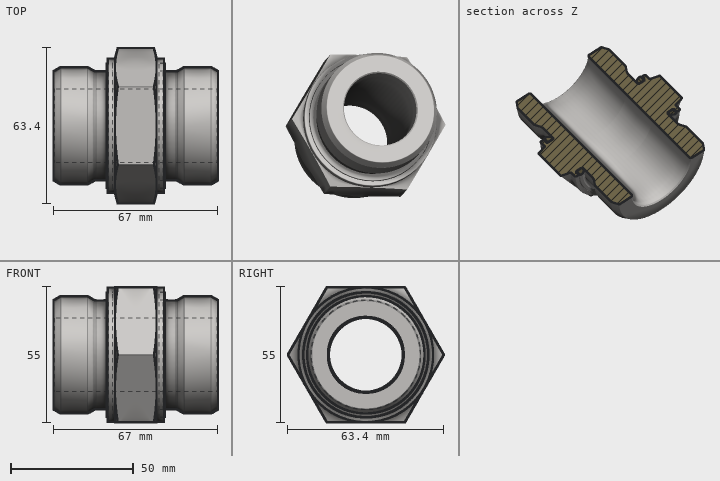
import cadquery as cq
import math

LENGTH = 67.0
BORE_DIAMETER = 30.0
BORE_CHAMFER = 0.5
THREAD_DIAMETER = 47.8
NECK_DIAMETER = 44.4
TAPER_ANGLE = 30.0
NECK_END = 16.7
NECK_FILLET = 1.5
END_DIAMETER = 44.4
COLLAR_DIAMETER = 54.8
COLLAR_HALF_WIDTH = 11.5
HEX_SIDES = 6
HEX_ACROSS_FLATS = 55.0
HEX_HALF_WIDTH = 8.5
HEX_CHAMFER_ANGLE = 15.0
EDGE_ROUND = 0.3
PLANE_TOLERANCE = 0.01

GROOVE_DIAMETER = 51.05
GROOVE_DEPTH = 2.0
SEAL_OUTER_DIAMETER = 50.7
SEAL_INNER_DIAMETER = 44.7
SEAL_CHAMFER_WIDTH = 1.5
SEAL_CHAMFER_ANGLE = 30.0
SEAL_EDGE_ROUND = 0.2
SEAL_PROUD = 0.4

half_length = LENGTH / 2
bore_radius = BORE_DIAMETER / 2
thread_radius = THREAD_DIAMETER / 2
neck_radius = NECK_DIAMETER / 2
collar_radius = COLLAR_DIAMETER / 2
groove_radius = GROOVE_DIAMETER / 2
seal_outer_radius = SEAL_OUTER_DIAMETER / 2
seal_inner_radius = SEAL_INNER_DIAMETER / 2
seal_face = COLLAR_HALF_WIDTH + SEAL_PROUD
seal_chamfer_depth = SEAL_CHAMFER_WIDTH * math.tan(math.radians(SEAL_CHAMFER_ANGLE))
groove_floor = COLLAR_HALF_WIDTH - GROOVE_DEPTH
end_radius = END_DIAMETER / 2
taper_tangent = math.tan(math.radians(TAPER_ANGLE))
runout_length = (thread_radius - neck_radius) / taper_tangent
tip_length = (thread_radius - end_radius) / taper_tangent
hex_sharp_diameter = HEX_ACROSS_FLATS / math.cos(math.pi / HEX_SIDES)

OUTERMOST = cq.selectors.RadiusNthSelector(-1)


def revolve_about_x(profile):
    """Close a half profile drawn in the XY plane and revolve it about the X axis."""
    return profile.close().revolve(360, (0, 0, 0), (1, 0, 0))


def circles_at(x):
    """Selector for the circular edges lying in the plane at the given X."""
    reach = HEX_ACROSS_FLATS
    return cq.selectors.BoxSelector(
        (x - PLANE_TOLERANCE, -reach, -reach), (x + PLANE_TOLERANCE, reach, reach), boundingbox=True)


def make_half_turning():
    """Round part of the +X half: bore, collar, seal groove, neck and thread."""
    profile = (
        cq.Workplane("XY")
        .moveTo(0, bore_radius)
        .lineTo(0, collar_radius)
        .lineTo(COLLAR_HALF_WIDTH, collar_radius)
        .lineTo(COLLAR_HALF_WIDTH, groove_radius)
        .lineTo(groove_floor, groove_radius)
        .lineTo(groove_floor, neck_radius)
        .lineTo(NECK_END, neck_radius)
        .lineTo(NECK_END + runout_length, thread_radius)
        .lineTo(half_length - tip_length, thread_radius)
        .lineTo(half_length, end_radius)
        .lineTo(half_length, bore_radius + BORE_CHAMFER)
        .lineTo(half_length - BORE_CHAMFER, bore_radius)
    )
    half = revolve_about_x(profile)
    half = half.edges(circles_at(NECK_END)).fillet(NECK_FILLET)
    for x in (NECK_END + runout_length, half_length - tip_length):
        half = half.edges(circles_at(x)).fillet(EDGE_ROUND)
    for x in (half_length, COLLAR_HALF_WIDTH):
        half = half.edges(circles_at(x)).edges(OUTERMOST).fillet(EDGE_ROUND)
    return half


def make_hexagon():
    """Hexagon with flats at +Z and -Z and conically chamfered corners."""
    hexagon = (
        cq.Workplane("YZ")
        .workplane(offset=-HEX_HALF_WIDTH)
        .polygon(HEX_SIDES, hex_sharp_diameter)
        .extrude(2 * HEX_HALF_WIDTH)
        .edges("|X")
        .fillet(EDGE_ROUND)
        .faces(">X")
        .workplane()
        .hole(BORE_DIAMETER)
    )
    corner_radius = hex_sharp_diameter / 2
    chamfer_drop = (corner_radius - collar_radius) * math.tan(math.radians(HEX_CHAMFER_ANGLE))
    envelope = revolve_about_x(
        cq.Workplane("XY")
        .moveTo(-HEX_HALF_WIDTH, 0)
        .lineTo(-HEX_HALF_WIDTH, collar_radius)
        .lineTo(-HEX_HALF_WIDTH + chamfer_drop, corner_radius)
        .lineTo(HEX_HALF_WIDTH - chamfer_drop, corner_radius)
        .lineTo(HEX_HALF_WIDTH, collar_radius)
        .lineTo(HEX_HALF_WIDTH, 0)
    )
    return hexagon.intersect(envelope)


def make_body():
    """Fitting body: two mirrored turned halves joined to the hexagon."""
    half = make_half_turning()
    return half.union(half.mirror("YZ")).union(make_hexagon())


def make_seal(side):
    """Seal ring in the +X (side = 1) or -X (side = -1) groove, its exposed inner edge chamfered."""
    profile = (
        cq.Workplane("XY")
        .moveTo(side * groove_floor, seal_inner_radius)
        .lineTo(side * groove_floor, seal_outer_radius)
        .lineTo(side * seal_face, seal_outer_radius)
        .lineTo(side * seal_face, seal_inner_radius + SEAL_CHAMFER_WIDTH)
        .lineTo(side * (seal_face - seal_chamfer_depth), seal_inner_radius)
    )
    ring = revolve_about_x(profile)
    return ring.edges(circles_at(side * seal_face)).edges(OUTERMOST).fillet(SEAL_EDGE_ROUND)


body = make_body()
seals = [make_seal(side) for side in (-1, 1)]

result = cq.Compound.makeCompound([body.val(), *[seal.val() for seal in seals]])